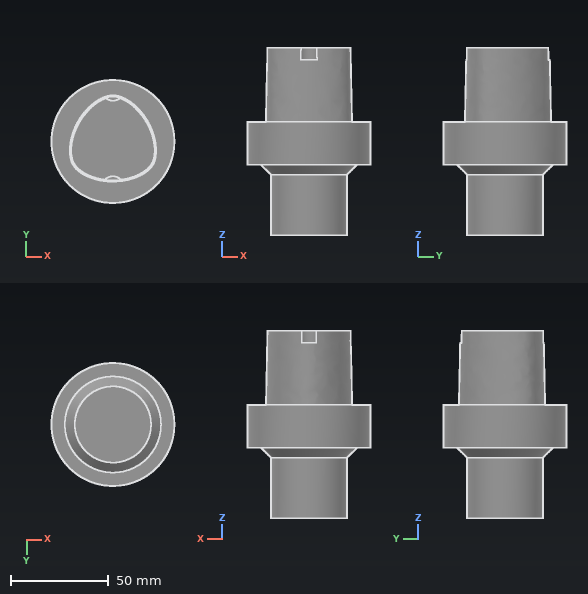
import cadquery as cq
import math

pilot_diameter = 39.0
pilot_height = 31.1
cone_height = 4.9
cone_top_diameter = 49.2
flange_diameter = 63.0
flange_top = 58.0
total_height = 96.0

shank_base_radius = 22.1
shank_top_radius = 21.3
lobe_amplitude = 1.5
lobe_count = 3
outline_steps = 72

notch_radius = 5.5
notch_depth = 6.3
front_notch_wall_y = -17.8
back_notch_wall_y = 20.8


def shank_point(mean_radius, angle):
    """Point on a constant-width outline with one lobe toward +Y."""
    phase = lobe_count * (angle - math.pi / 2)
    support = mean_radius + lobe_amplitude * math.cos(phase)
    slope = -lobe_count * lobe_amplitude * math.sin(phase)
    x = support * math.cos(angle) - slope * math.sin(angle)
    y = support * math.sin(angle) + slope * math.cos(angle)
    return x, y


def shank_outline(mean_radius):
    """Points around the outline, starting mid-way along the flattest side toward -Y."""
    step = 2 * math.pi / outline_steps
    return [shank_point(mean_radius, -math.pi / 2 + i * step) for i in range(outline_steps)]


def make_round_body():
    """Pilot, widening cone and flange."""
    pilot_radius = pilot_diameter / 2
    flange_radius = flange_diameter / 2
    flange_bottom = pilot_height + cone_height
    cone_radius = cone_top_diameter / 2
    profile = [
        (0, 0),
        (pilot_radius, 0),
        (pilot_radius, pilot_height),
        (cone_radius, flange_bottom),
        (flange_radius, flange_bottom),
        (flange_radius, flange_top),
        (0, flange_top),
    ]
    return cq.Workplane("XZ").polyline(profile).close().revolve(360, (0, 0), (0, 1))


def make_shank():
    return (
        cq.Workplane("XY", origin=(0, 0, flange_top))
        .spline(shank_outline(shank_base_radius), periodic=True, makeWire=True)
        .workplane(offset=total_height - flange_top)
        .spline(shank_outline(shank_top_radius), periodic=True, makeWire=True)
        .loft(ruled=True)
    )


def make_notches():
    """Upright cylinders standing partly outside the shank."""
    centers = [
        (0, front_notch_wall_y - notch_radius),
        (0, back_notch_wall_y + notch_radius),
    ]
    return (
        cq.Workplane("XY", origin=(0, 0, total_height - notch_depth))
        .pushPoints(centers)
        .circle(notch_radius)
        .extrude(notch_depth)
    )


result = make_round_body().union(make_shank()).cut(make_notches())